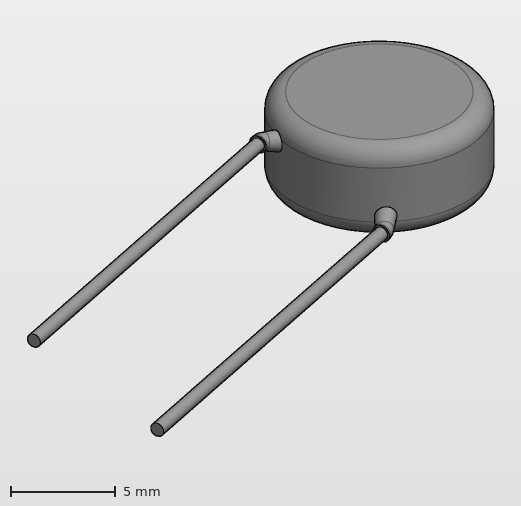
import cadquery as cq
import math

disc_diameter = 11.0
disc_height = 5.0
rim_radius = 1.0

overall_length = 32.5
wire_radius = 0.35
lead_x = 3.4
lead_z = 1.45
wire_tip_y = disc_diameter / 2 - overall_length

sleeve_radius = 0.45
sleeve_end_y = -5.7
collar_length = 0.1
bend_radius = 0.7
bend_angle = 30
roll_angle = 30
root_length = 1.45
root_radius = 0.62
bend_y = sleeve_end_y + collar_length

bend_rad = math.radians(bend_angle)
bend_exit = cq.Vector(
    bend_radius * (1 - math.cos(bend_rad)), bend_y + bend_radius * math.sin(bend_rad), 0
)
root_direction = cq.Vector(math.sin(bend_rad), math.cos(bend_rad), 0)


def bent_rod(radius, start_y, end_radius):
    """Straight rod from start_y, a tangent bend, then a round stretch ending at end_radius."""
    y_axis = cq.Vector(0, 1, 0)
    straight = cq.Solid.makeCylinder(radius, bend_y - start_y, cq.Vector(0, start_y, 0), y_axis)
    bend = (
        cq.Workplane("XZ", origin=(0, bend_y, 0))
        .circle(radius)
        .revolve(bend_angle, (bend_radius, 0.32, 0), (bend_radius, 0, 0))
    )
    if end_radius == radius:
        root = cq.Solid.makeCylinder(radius, root_length, bend_exit, root_direction)
    else:
        root = cq.Solid.makeCone(radius, end_radius, root_length, bend_exit, root_direction)
    return cq.Workplane(straight).union(bend).union(cq.Workplane(root))


def place_left(rod):
    """Roll the bend toward mid-height and move the rod to the upper left lead position."""
    return rod.rotate((0, 0, 0), (0, 1, 0), roll_angle).translate((-lead_x, 0, lead_z))


def both_sides(left_rod):
    """The left rod and its half-turn copy about the Y axis."""
    return [left_rod.rotate((0, 0, 0), (0, 1, 0), turn) for turn in (0, 180)]


def make_coating(leads):
    """Rounded disc with two sleeves, bored to fit the leads."""
    disc = (
        cq.Workplane("XY")
        .circle(disc_diameter / 2)
        .extrude(disc_height)
        .edges()
        .fillet(rim_radius)
        .translate((0, 0, -disc_height / 2))
    )
    for sleeve in both_sides(place_left(bent_rod(sleeve_radius, sleeve_end_y, root_radius))):
        disc = disc.union(sleeve)
    for lead in leads:
        disc = disc.cut(lead)
    return disc


leads = both_sides(place_left(bent_rod(wire_radius, wire_tip_y, wire_radius)))
coating = make_coating(leads)

result = cq.Compound.makeCompound([coating.solids().val(), *[lead.solids().val() for lead in leads]])